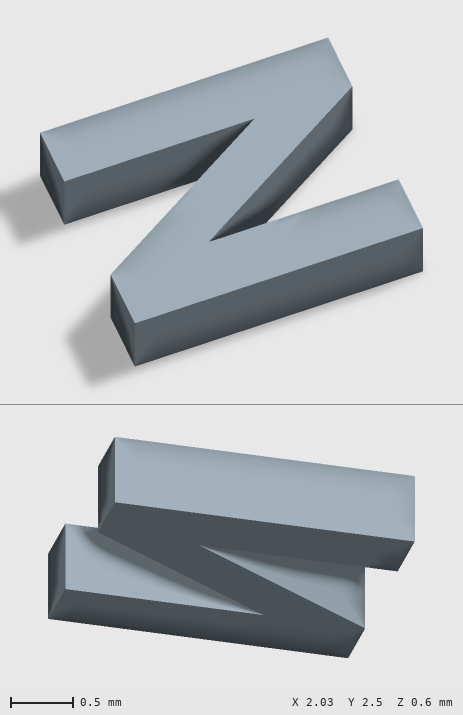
import cadquery as cq

width = 2.03
height = 2.5
thickness = 0.6

leg_width = 0.52
notch_depth = 1.65

left = -width / 2
right = width / 2
bottom = -height / 2
top = height / 2
left_leg_inside = left + leg_width
right_leg_inside = right - leg_width

outline = [
    (left, bottom),
    (left_leg_inside, bottom),
    (left_leg_inside, bottom + notch_depth),
    (right_leg_inside, bottom),
    (right, bottom),
    (right, top),
    (right_leg_inside, top),
    (right_leg_inside, top - notch_depth),
    (left_leg_inside, top),
    (left, top),
]

result = cq.Workplane("XY").polyline(outline).close().extrude(thickness)